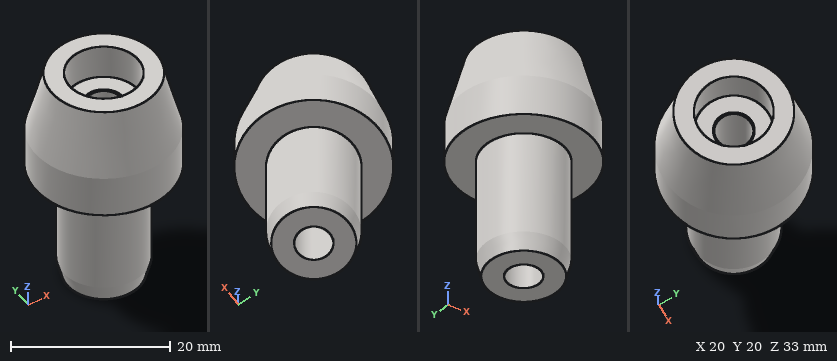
import cadquery as cq
import math

total_height = 33.0
shank_length = 18.0
collar_height = 6.0
tip_height = 2.48

head_diameter = 20.0
shank_diameter = 12.0
counterbore_diameter = 10.0
counterbore_depth = 5.0
bore_diameter = 4.92
bore_mouth_diameter = 5.2

taper_angle = 15.0
taper_slope = math.tan(math.radians(taper_angle))

head_radius = head_diameter / 2
shank_radius = shank_diameter / 2
tip_radius = shank_radius - tip_height * taper_slope
collar_top = shank_length + collar_height
top_radius = head_radius - (total_height - collar_top) * taper_slope

body = (
    cq.Workplane("XZ")
    .moveTo(0, 0)
    .lineTo(tip_radius, 0)
    .lineTo(shank_radius, tip_height)
    .lineTo(shank_radius, shank_length)
    .lineTo(head_radius, shank_length)
    .lineTo(head_radius, collar_top)
    .lineTo(top_radius, total_height)
    .lineTo(0, total_height)
    .close()
    .revolve(360, (0, 0, 0), (0, 1, 0))
)

counterbored = body.faces(">Z").workplane().hole(counterbore_diameter, counterbore_depth)

bore = cq.Workplane("XY").circle(bore_diameter / 2).extrude(total_height)
counterbore_floor = total_height - counterbore_depth
chamfer_size = (bore_mouth_diameter - bore_diameter) / 2
bore_mouth = cq.Workplane("XY").add(
    cq.Solid.makeCone(
        bore_diameter / 2,
        bore_mouth_diameter / 2,
        chamfer_size,
        pnt=cq.Vector(0, 0, counterbore_floor - chamfer_size),
    )
)

result = counterbored.cut(bore).cut(bore_mouth)